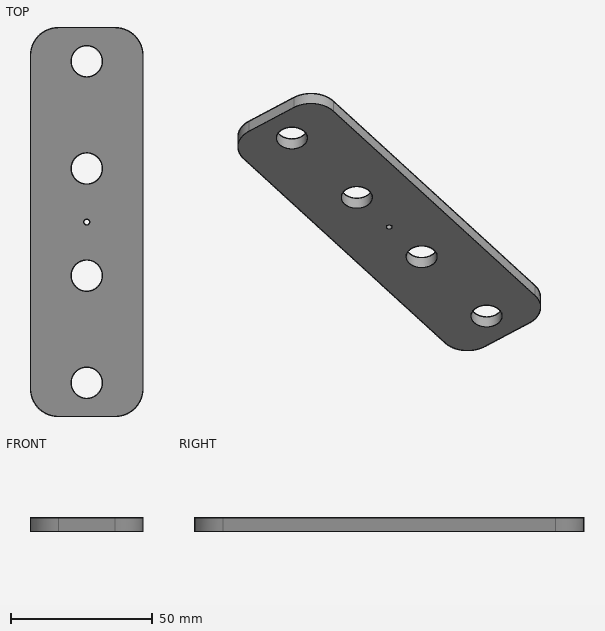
import cadquery as cq

width = 40.0
length = 138.0
thickness = 5.0
corner_radius = 10.0

hole_count = 4
hole_pitch = 38.0
hole_diameter = 11.0
pilot_diameter = 2.0


def make_plate():
    """Flat plate with rounded vertical corners, resting on Z = 0."""
    plate = cq.Workplane("XY").box(width, length, thickness, centered=(True, True, False))
    return plate.edges("|Z").fillet(corner_radius)


def cut_hole_row(plate):
    """Evenly spaced through holes, centred on the plate."""
    plane = plate.faces(">Z").workplane(origin=(0, 0, thickness))
    return plane.rarray(1, hole_pitch, 1, hole_count).hole(hole_diameter)


def cut_pilot_hole(plate):
    """Small through hole at the plate centre."""
    return plate.faces(">Z").workplane(origin=(0, 0, thickness)).hole(pilot_diameter)


result = cut_pilot_hole(cut_hole_row(make_plate()))